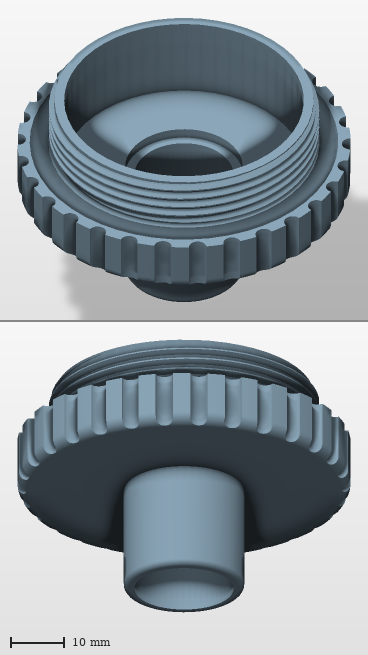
import cadquery as cq
import math

RING_RADIUS = 31.05
RING_HEIGHT = 10.0
RING_FILLET = 2.0
FLUTE_COUNT = 30
FLUTE_RADIUS = 1.6
FLUTE_PITCH = 360 / FLUTE_COUNT
FLUTE_OFFSET = FLUTE_PITCH / 4

GROOVE_RADIUS = 1.75
GROOVE_CENTER_RADIUS = 27.0

COLLAR_RADIUS = 48.2 / 2
COLLAR_HEIGHT = RING_HEIGHT
COLLAR_TOP = RING_HEIGHT + COLLAR_HEIGHT

CUP_RADIUS = 44.6 / 2
FLOOR_THICKNESS = 4.0
RECESS_RADIUS = 21.9 / 2
RECESS_DEPTH = 2.0

NECK_RADIUS = 22.5 / 2
NECK_LENGTH = 2 * RING_HEIGHT
NECK_FILLET = 1.0
BORE_RADIUS = 18.5 / 2

THREAD_TURNS = 4
THREAD_PITCH = COLLAR_HEIGHT / (THREAD_TURNS + 1)
THREAD_FLANK_ANGLE = 30
ROOT_WIDTH = 0.75 * THREAD_PITCH
CREST_WIDTH = THREAD_PITCH / 8
THREAD_DEPTH = (ROOT_WIDTH - CREST_WIDTH) / 2 / math.tan(math.radians(THREAD_FLANK_ANGLE))
FADE_TURNS = 0.25
FADE_TIP = 0.05
FIRST_TURN_Z = RING_HEIGHT + THREAD_PITCH / 2
CURVE_STEP = 3


def make_housing():
    """Ring, collar and neck as one solid of revolution, then the flutes cut from its rim."""
    ring = cq.Workplane("XY").circle(RING_RADIUS).extrude(RING_HEIGHT).faces("<Z").edges().fillet(RING_FILLET)
    collar = cq.Workplane("XY").circle(COLLAR_RADIUS).extrude(COLLAR_TOP)
    neck = cq.Workplane("XY").circle(NECK_RADIUS).extrude(-NECK_LENGTH).faces("<Z").edges().fillet(NECK_FILLET)
    body = ring.union(collar).union(neck)

    cup = cq.Workplane("XY", origin=(0, 0, FLOOR_THICKNESS)).circle(CUP_RADIUS).extrude(COLLAR_TOP)
    recess = (
        cq.Workplane("XY", origin=(0, 0, FLOOR_THICKNESS - RECESS_DEPTH))
        .circle(RECESS_RADIUS)
        .extrude(COLLAR_TOP)
    )
    bore = cq.Workplane("XY", origin=(0, 0, -NECK_LENGTH)).circle(BORE_RADIUS).extrude(NECK_LENGTH + COLLAR_TOP)
    groove = cq.Workplane(cq.Solid.makeTorus(GROOVE_CENTER_RADIUS, GROOVE_RADIUS, cq.Vector(0, 0, RING_HEIGHT)))
    flutes = (
        cq.Workplane("XY")
        .polarArray(RING_RADIUS, FLUTE_OFFSET, 360, FLUTE_COUNT)
        .circle(FLUTE_RADIUS)
        .extrude(RING_HEIGHT)
    )
    return body.cut(cup).cut(recess).cut(bore).cut(groove).cut(flutes).solids()


def helical_edge(corner, start_turn, end_turn, start_size, end_size):
    """Path of one tooth corner (depth, offset from the tooth middle) along the thread."""
    depth, offset = corner
    steps = round((end_turn - start_turn) * 360 / CURVE_STEP)
    points = []
    for i in range(steps + 1):
        along = i / steps
        turn = start_turn + (end_turn - start_turn) * along
        size = start_size + (end_size - start_size) * along
        angle = 2 * math.pi * turn
        radius = COLLAR_RADIUS + depth * size
        z = FIRST_TURN_Z + THREAD_PITCH * turn + offset * size
        points.append(cq.Vector(radius * math.cos(angle), radius * math.sin(angle), z))
    return cq.Edge.makeSpline(points)


def make_thread_piece(start_turn, end_turn, start_size=1, end_size=1):
    """Stretch of trapezoidal thread between two turn positions: four ruled sides and two flat ends."""
    corners = [
        (0, -ROOT_WIDTH / 2),
        (THREAD_DEPTH, -CREST_WIDTH / 2),
        (THREAD_DEPTH, CREST_WIDTH / 2),
        (0, ROOT_WIDTH / 2),
    ]
    edges = [helical_edge(corner, start_turn, end_turn, start_size, end_size) for corner in corners]
    sides = [cq.Face.makeRuledSurface(edges[i - 1], edges[i]) for i in range(len(edges))]
    start_face = cq.Face.makeFromWires(cq.Wire.makePolygon([e.startPoint() for e in edges], close=True))
    end_face = cq.Face.makeFromWires(cq.Wire.makePolygon([e.endPoint() for e in edges], close=True))
    return cq.Solid.makeSolid(cq.Shell.makeShell(sides + [start_face, end_face]))


housing = make_housing()
thread_turns = [make_thread_piece(turn, turn + 1) for turn in range(THREAD_TURNS)]
thread_run_in = make_thread_piece(-FADE_TURNS, 0, start_size=FADE_TIP)
thread_run_out = make_thread_piece(THREAD_TURNS, THREAD_TURNS + FADE_TURNS, end_size=FADE_TIP)

result = cq.Compound.makeCompound([housing.val(), *thread_turns, thread_run_in, thread_run_out])